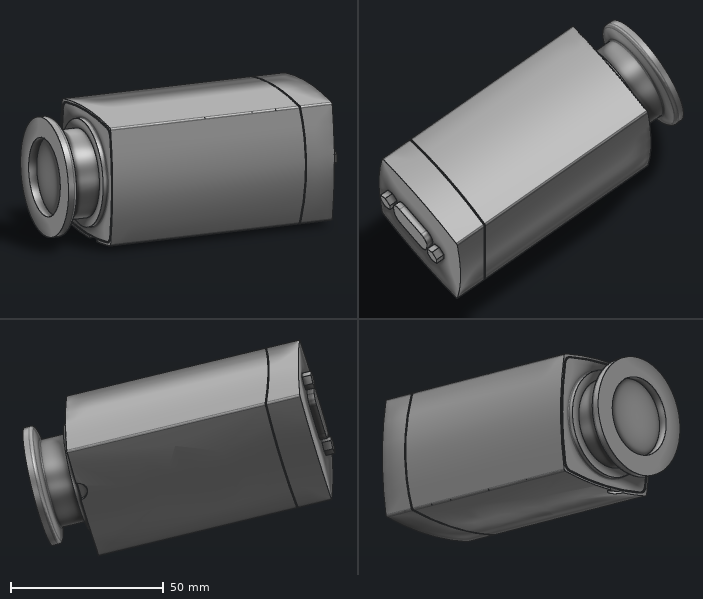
import cadquery as cq
import math

total_length = 97.3
nut_height = 3.0
connector_height = 2.3
body_front = 15.0
body_back = total_length - nut_height

corner_half = 20.0
crown_x = 21.9
crown_z_front = 21.8
crown_z_seam = 22.0
crown_z_cover = 21.9
corner_radius = 0.8

seam_middle = 84.2
seam_radius = 136.2
seam_width = 0.4
seam_depth = 0.2

panel_inset = 0.8
panel_corner_radius = 2.9
groove_width = 0.3
groove_depth = 0.3

notch_x = 5.45
notch_radius = 3.0
notch_top = -20.7

flange_diameter = 40.0
flange_radius = flange_diameter / 2
flange_rim = 3.0
cone_angle = 15.0
rim_fillet = 1.2
neck_radius = 14.9
neck_fillet = 0.5
collar_radius = 18.0
collar_front = 13.2
collar_fillet = 0.3
bore_radius = 13.1
bore_depth = 2.9

connector_x = 2.0
connector_width = 18.1
connector_tall = 9.3
connector_slant = 10.0
connector_radius = 3.3
nut_spacing = 25.0
nut_flats = 5.0

OVERLAP = 1.0


def plane_at(y):
    """Workplane facing +Y, with its local axes along -X and +Z."""
    return cq.Workplane(cq.Plane(origin=(0, y, 0), xDir=(-1, 0, 0), normal=(0, 1, 0)))


def fillet_nearest(solid, point, radius):
    """Round the edge whose centre lies closest to the point."""
    return solid.edges(cq.selectors.NearestToPointSelector(point)).fillet(radius)


def crowned_square(work, corner, half_x, half_z):
    """Closed outline of four arcs meeting at square corners."""
    return (
        work.moveTo(-corner, -corner)
        .threePointArc((0, -half_z), (corner, -corner))
        .threePointArc((half_x, 0), (corner, corner))
        .threePointArc((0, half_z), (-corner, corner))
        .threePointArc((-half_x, 0), (-corner, -corner))
        .close()
    )


def crowned_block(start, end, inset, crown_z, radius):
    """Straight block with the crowned outline, moved inward by inset."""
    work = crowned_square(plane_at(start), corner_half - inset, crown_x - inset, crown_z - inset)
    return work.extrude(end - start).edges("|Y").fillet(radius)


def behind_seam(offset):
    """Everything behind the seam surface when that is moved forward by offset."""
    centre_y = seam_middle - seam_radius - offset
    room = 2 * crown_x
    block = cq.Workplane("XY").box(2 * room, total_length, 2 * room).translate((0, total_length, 0))
    cylinder = cq.Workplane("YZ").center(centre_y, 0).circle(seam_radius).extrude(room, both=True)
    return block.cut(cylinder)


def make_housing():
    """Slightly tapered front housing, ending at the seam."""
    work = crowned_square(plane_at(body_front), corner_half, crown_x, crown_z_front)
    work = work.workplane(offset=seam_middle - body_front)
    housing = crowned_square(work, corner_half, crown_x, crown_z_seam).loft(ruled=True)
    middle = (body_front + seam_middle) / 2
    for x in (-corner_half, corner_half):
        for z in (-corner_half, corner_half):
            housing = fillet_nearest(housing, (x, middle, z), corner_radius)
    return housing.cut(behind_seam(seam_width / 2))


def make_cover():
    """Rear cover, starting at the seam."""
    cover = crowned_block(body_front, body_back, 0, crown_z_cover, corner_radius)
    return cover.intersect(behind_seam(-seam_width / 2))


def make_core():
    """Inner block that forms the floor of the seam groove."""
    seam_sag = seam_radius - math.sqrt(seam_radius**2 - crown_z_seam**2)
    start = seam_middle - seam_sag - OVERLAP
    end = seam_middle + OVERLAP
    return crowned_block(start, end, seam_depth, crown_z_cover, corner_radius)


def make_panel_groove():
    """Thin frame cut into the front face around the panel."""
    end = body_front + groove_depth
    outer = crowned_block(body_front, end, panel_inset, crown_z_front, panel_corner_radius)
    inset = panel_inset + groove_width
    inner = crowned_block(body_front, end, inset, crown_z_front, panel_corner_radius)
    return outer.cut(inner)


def make_notch():
    """Half-round notch in the lower front edge."""
    plane = cq.Workplane("XY", origin=(notch_x, body_front, notch_top))
    return plane.circle(notch_radius).extrude(-crown_z_seam)


def make_flange():
    """Collar, neck and flange with a tapered back, turned about Y."""
    cone_end = flange_rim + (flange_radius - neck_radius) * math.tan(math.radians(cone_angle))
    profile = (
        cq.Workplane("XY")
        .moveTo(0, 0)
        .lineTo(flange_radius, 0)
        .lineTo(flange_radius, flange_rim)
        .lineTo(neck_radius, cone_end)
        .lineTo(neck_radius, collar_front)
        .lineTo(collar_radius, collar_front)
        .lineTo(collar_radius, body_front - collar_fillet)
        .radiusArc((collar_radius + collar_fillet, body_front), collar_fillet)
        .lineTo(collar_radius + collar_fillet, body_front + OVERLAP)
        .lineTo(0, body_front + OVERLAP)
        .close()
    )
    flange = profile.revolve(360, (0, 0, 0), (0, 1, 0))
    flange = fillet_nearest(flange, (0, flange_rim, 0), rim_fillet)
    flange = fillet_nearest(flange, (0, cone_end, 0), neck_fillet)
    bore = plane_at(0).circle(bore_radius).extrude(bore_depth)
    return flange.cut(bore)


def make_connector():
    """D-shaped shell, narrower at the bottom, on the rear face."""
    slant = math.radians(connector_slant)
    lean = connector_tall * math.tan(slant)
    pulled_in = connector_radius * (math.tan(slant) + 1 / math.cos(slant) - 1)
    top_half = connector_width / 2 + pulled_in
    shell = (
        plane_at(body_back - OVERLAP)
        .polyline([
            (-top_half, connector_tall / 2),
            (top_half, connector_tall / 2),
            (top_half - lean, -connector_tall / 2),
            (lean - top_half, -connector_tall / 2),
        ])
        .close()
        .extrude(connector_height + OVERLAP)
        .edges("|Y")
        .fillet(connector_radius)
    )
    return shell.translate((connector_x, 0, 0))


def make_nut(x):
    """Hexagonal nut on the rear face with two corners pointing up and down."""
    corners = nut_flats / math.cos(math.radians(30))
    nut = plane_at(body_back - OVERLAP).polygon(6, corners).extrude(nut_height + OVERLAP)
    return nut.rotate((0, 0, 0), (0, 1, 0), 30).translate((x, 0, 0))


result = make_housing().union(make_cover()).union(make_core())
result = result.cut(make_panel_groove()).cut(make_notch())
result = result.union(make_flange())
result = result.union(make_connector())
for side in (-1, 1):
    result = result.union(make_nut(connector_x + side * nut_spacing / 2))